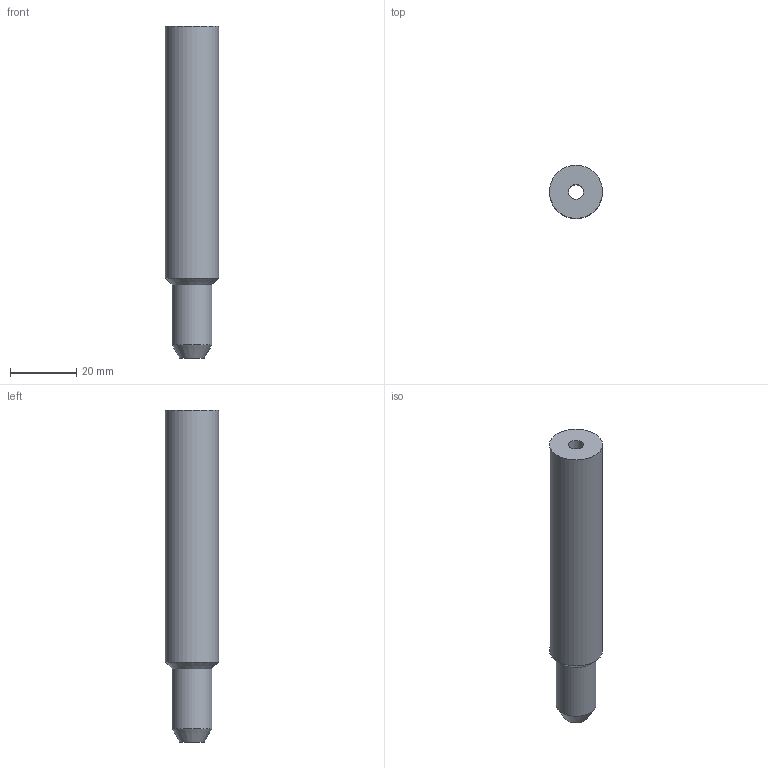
import cadquery as cq
import math

total_length = 100.0
body_diameter = 16.0
shank_diameter = 12.0
bore_diameter = 4.5

shank_length = 22.0
tip_length = 4.0
tip_half_angle = 30.0

shoulder_chamfer = (body_diameter - shank_diameter) / 2

body_radius = body_diameter / 2
shank_radius = shank_diameter / 2
tip_radius = shank_radius - tip_length * math.tan(math.radians(tip_half_angle))


def stepped_pin():
    """Revolve the half profile (radius, height) about the Z axis."""
    half_profile = [
        (0, 0),
        (tip_radius, 0),
        (shank_radius, tip_length),
        (shank_radius, shank_length),
        (body_radius, shank_length + shoulder_chamfer),
        (body_radius, total_length),
        (0, total_length),
    ]
    return cq.Workplane("XZ").polyline(half_profile).close().revolve(360, (0, 0, 0), (0, 1, 0))


def axial_bore():
    """Cylinder that passes through the full length of the pin."""
    return cq.Workplane("XY").circle(bore_diameter / 2).extrude(total_length)


result = stepped_pin().cut(axial_bore())